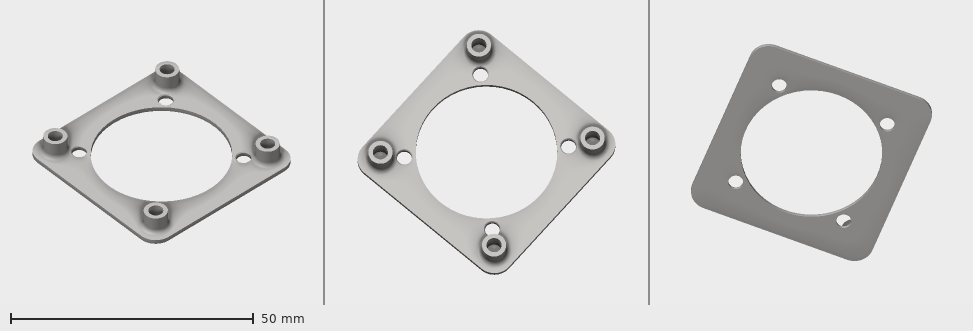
import cadquery as cq

plate_side = 40.0
plate_thickness = 1.0
corner_radius = 4.0
opening_diameter = 29.2

overall_height = 5.0
boss_spacing = 31.0
boss_diameter = 5.0
boss_bore_diameter = 3.1
boss_foot_radius = 1.0
boss_height = overall_height - plate_thickness

hole_spacing = 24.0
hole_diameter = 3.1
hole_chamfer = 0.2


def square_pattern(spacing):
    """Centres of four features at the corners of a square."""
    half = spacing / 2
    return [(x, y) for x in (-half, half) for y in (-half, half)]


def make_plate():
    """Rounded square plate with its underside on Z = 0."""
    return (
        cq.Workplane("XY")
        .rect(plate_side, plate_side)
        .extrude(plate_thickness)
        .edges("|Z")
        .fillet(corner_radius)
        .faces(">Z")
        .workplane()
        .hole(opening_diameter)
    )


def make_boss():
    """Boss on the Z axis with a flared foot and a bore that stops at the plate."""
    bore_radius = boss_bore_diameter / 2
    boss_radius = boss_diameter / 2
    flare_top = plate_thickness + boss_foot_radius
    foot_outer = boss_radius + boss_foot_radius
    return (
        cq.Workplane("XZ")
        .moveTo(bore_radius, plate_thickness)
        .lineTo(foot_outer, plate_thickness)
        .radiusArc((boss_radius, flare_top), boss_foot_radius)
        .lineTo(boss_radius, plate_thickness + boss_height)
        .lineTo(bore_radius, plate_thickness + boss_height)
        .close()
        .revolve(360, (0, 0), (0, 1))
    )


def make_hole_cutter():
    """Through hole on the Z axis, widened by a chamfer at the plate's top face."""
    hole_radius = hole_diameter / 2
    rim_radius = hole_radius + hole_chamfer
    return (
        cq.Workplane("XZ")
        .lineTo(hole_radius, 0)
        .lineTo(hole_radius, plate_thickness - hole_chamfer)
        .lineTo(rim_radius, plate_thickness)
        .lineTo(rim_radius, overall_height)
        .lineTo(0, overall_height)
        .close()
        .revolve(360, (0, 0), (0, 1))
    )


result = make_plate()
for x, y in square_pattern(boss_spacing):
    result = result.union(make_boss().translate((x, y, 0)))
for x, y in square_pattern(hole_spacing):
    result = result.cut(make_hole_cutter().translate((x, y, 0)))